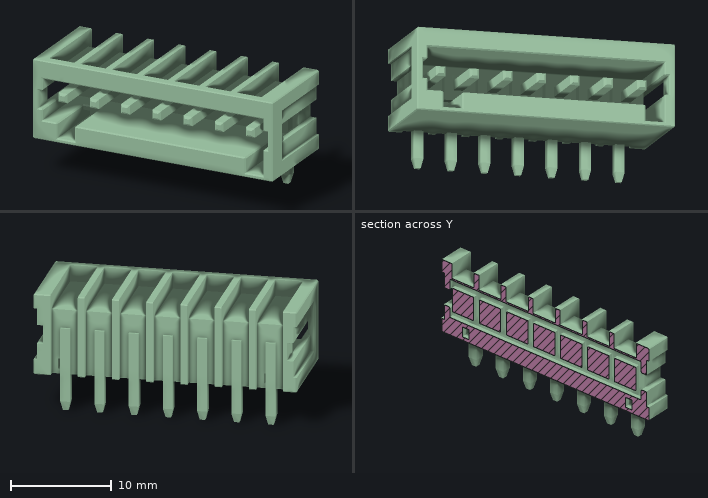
import cadquery as cq


length = 26.9
depth = 10.3
height = 8.5
edge_chamfer = 0.1

side_wall = 1.1
cavity_depth = 7.77
floor_z = 2.1
roof_z = 6.55
mouth_chamfer = 0.13
inner_fillet = 0.13

keyway_low = 3.3
keyway_high = 5.25
keyway_wall = 0.62
groove_low = 1.6
groove_high = 6.97
groove_start = 2.02
groove_inset = 0.35
key_groove_inset = 1.0

pin_count = 7
pitch = 3.5
first_pin_x = 2.8
pin_size = 1.0
pin_z = 4.38
pin_front = 1.0
pin_tip_inset = 0.25
leg_rear_gap = 0.48
leg_reach = 3.8
leg_tip_length = 0.97
leg_tip_size = 0.55

slot_width = 2.8
slot_start = 0.95
slot_depth = 1.72
rear_slot_depth = 0.8

pad_front = 6.8
pad_size = slot_width
pad_z = 4.25

notch_width = 1.96
notch_depth = 5.78
notch_floor = 0.45
notch_lefts = (2.75, length - side_wall - notch_width)
vent_width = 0.75
vent_top = 1.55

pin_centres = [first_pin_x + i * pitch for i in range(pin_count)]


def block(x_range, y_range, z_range):
    """Box spanning the given (low, high) ranges."""
    spans = [high - low for low, high in (x_range, y_range, z_range)]
    corner = (x_range[0], y_range[0], z_range[0])
    return cq.Workplane("XY").box(*spans, centered=False).translate(corner)


def tapered_tip(plane, size, tip_size, tip_length):
    """Square tip that narrows along the normal of its base plane."""
    tip = cq.Workplane(plane).rect(size, size).workplane(offset=tip_length)
    return tip.rect(tip_size, tip_size).loft(combine=True)


def chamfer_flare(centre, inward, x_dir, width, span):
    """Wedge-edged plate that chamfers the rim of a rectangular opening."""
    rim = 2 * mouth_chamfer
    plane = cq.Plane(origin=centre, xDir=x_dir, normal=inward)
    return cq.Workplane(plane).rect(width + rim, span + rim).extrude(mouth_chamfer, taper=45)


def front_opening(x_range, y_end, z_range):
    """Rectangular pocket entered from the front, with a chamfered rim."""
    centre = (sum(x_range) / 2, 0, sum(z_range) / 2)
    width = x_range[1] - x_range[0]
    span = z_range[1] - z_range[0]
    flare = chamfer_flare(centre, (0, 1, 0), (1, 0, 0), width, span)
    return block(x_range, (0, y_end), z_range).union(flare)


def plug_cavity():
    """Main cavity with a fillet where its roof meets the rear wall."""
    cavity = front_opening((side_wall, length - side_wall), cavity_depth, (floor_z, roof_z))
    return cavity.faces(">Y").edges(">Z").fillet(inner_fillet)


def end_wall_grooves():
    """Stepped groove outside the left end wall, breaking into the cavity."""
    key_z = (keyway_low, keyway_high)
    shallow = block((0, groove_inset), (groove_start, depth), (groove_low, groove_high))
    deep = block((0, key_groove_inset), (groove_start, depth), key_z)
    opening = block((0, side_wall), (groove_start, cavity_depth), key_z)

    sill_centre = (side_wall, cavity_depth / 2, sum(key_z) / 2)
    sill_span = keyway_high - keyway_low
    sills = chamfer_flare(sill_centre, (-1, 0, 0), (0, 1, 0), cavity_depth, sill_span)
    sills = sills.intersect(block((0, side_wall), (0, cavity_depth), (0, height)))
    return shallow.union(deep).union(opening).union(sills)


def notch(left):
    """Floor notch with chamfered front and top rims and a vent to the rear."""
    right = left + notch_width
    pocket = front_opening((left, right), notch_depth, (notch_floor, floor_z))
    pocket = pocket.faces(">Y").edges("<X or <Z").fillet(inner_fillet)

    top_centre = ((left + right) / 2, notch_depth / 2, floor_z)
    top_rim = chamfer_flare(top_centre, (0, 0, -1), (1, 0, 0), notch_width, notch_depth)
    cavity_span = block((side_wall, length - side_wall), (0, depth), (0, height))

    vent = block((left, left + vent_width), (0, depth), (notch_floor, vent_top))
    return pocket.union(top_rim.intersect(cavity_span)).union(vent)


def pin(x):
    """Right-angle square pin with a tapered tip at both ends."""
    half = pin_size / 2
    rear_y = depth - leg_rear_gap
    leg_y = rear_y - half
    x_range = (x - half, x + half)
    contact_start = pin_front + pin_tip_inset
    leg_end = leg_tip_length - leg_reach

    contact = block(x_range, (contact_start, rear_y), (pin_z - half, pin_z + half))
    leg = block(x_range, (rear_y - pin_size, rear_y), (leg_end, pin_z))
    forward = cq.Plane(origin=(x, contact_start, pin_z), xDir=(1, 0, 0), normal=(0, -1, 0))
    downward = cq.Plane(origin=(x, leg_y, leg_end), xDir=(1, 0, 0), normal=(0, 0, -1))
    contact_tip = tapered_tip(forward, pin_size, pin_size - 2 * pin_tip_inset, pin_tip_inset)
    leg_tip = tapered_tip(downward, pin_size, leg_tip_size, leg_tip_length)
    return contact.union(leg).union(contact_tip).union(leg_tip)


housing = block((0, length), (0, depth), (0, height)).edges().chamfer(edge_chamfer)
keyways = front_opening(
    (keyway_wall, length - keyway_wall), groove_start, (keyway_low, keyway_high)
)
housing = housing.cut(plug_cavity()).cut(keyways)

left_grooves = end_wall_grooves()
right_grooves = left_grooves.mirror("YZ", (length / 2, 0, 0))
housing = housing.cut(left_grooves).cut(right_grooves)

for notch_left in notch_lefts:
    housing = housing.cut(notch(notch_left))

for centre in pin_centres:
    slot_x = (centre - slot_width / 2, centre + slot_width / 2)
    housing = housing.cut(block(slot_x, (slot_start, depth), (height - slot_depth, height)))
    housing = housing.cut(block(slot_x, (depth - rear_slot_depth, depth), (0, height)))

pad_z_range = (pad_z - pad_size / 2, pad_z + pad_size / 2)
result = housing
for centre in pin_centres:
    pad_x = (centre - pad_size / 2, centre + pad_size / 2)
    result = result.union(block(pad_x, (pad_front, cavity_depth), pad_z_range))
    result = result.union(pin(centre))